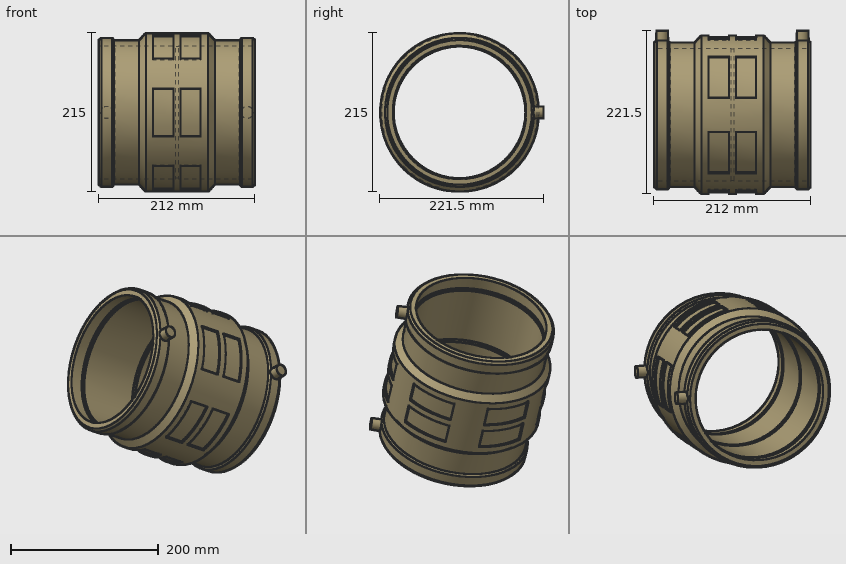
import cadquery as cq

length = 212.0
width = 221.5
barrel_diameter = 215.0
neck_diameter = 196.0
collar_diameter = 202.0
collar_length = 18.2
collar_lead_length = 3.8
collar_taper_length = 2.7
neck_end = 54.7
barrel_cone_length = 9.0

bore_diameter = 180.0
groove_start = 18.0
groove_width = 4.0
groove_depth = 0.9
stop_diameter = 178.3
stop_width = 4.5

window_count = 6
window_angle = 35.0
window_depth = 2.2
window_width = 27.2
window_gap = 9.7

stub_base_diameter = 16.8
stub_tip_diameter = 16.0
stub_inset = 10.9

half_length = length / 2
barrel_radius = barrel_diameter / 2
neck_radius = neck_diameter / 2
collar_radius = collar_diameter / 2
bore_radius = bore_diameter / 2
groove_end = groove_start + groove_width
groove_radius = bore_radius + groove_depth
stop_radius = stop_diameter / 2
stop_start = (length - stop_width) / 2
taper_end = collar_length + collar_taper_length
stub_tip = width - barrel_radius
stub_root = (neck_radius + groove_radius) / 2


def mirrored_revolve(end_profile):
    """Revolve (distance from open end, radius) points, mirrored to both ends, about X."""
    left = [(distance - half_length, radius) for distance, radius in end_profile]
    right = [(-x, radius) for x, radius in reversed(left)]
    outline = [(-half_length, 0)] + left + right + [(half_length, 0)]
    return cq.Workplane("XY").polyline(outline).close().revolve(360, (0, 0, 0), (1, 0, 0))


def window_cutter():
    """Curved block centred on -Y, with radial side walls, that cuts one window."""
    ring_section = (
        cq.Workplane("XY")
        .center(0, -barrel_radius)
        .rect(window_width, 2 * window_depth)
    )
    block = ring_section.revolve(window_angle, (0, barrel_radius, 0), (1, barrel_radius, 0))
    return block.rotate((0, 0, 0), (1, 0, 0), -window_angle / 2)


def stub(x):
    """Slightly tapered round stub pointing along +Y."""
    return (
        cq.Workplane("XZ", origin=(x, stub_root, 0))
        .circle(stub_base_diameter / 2)
        .workplane(offset=stub_root - stub_tip)
        .circle(stub_tip_diameter / 2)
        .loft()
    )


result = mirrored_revolve([
    (0, neck_radius),
    (collar_lead_length, collar_radius),
    (collar_length, collar_radius),
    (taper_end, neck_radius),
    (neck_end, neck_radius),
    (neck_end + barrel_cone_length, barrel_radius),
])

for side in (-1, 1):
    result = result.union(stub(side * (half_length - stub_inset)))

result = result.cut(mirrored_revolve([
    (0, bore_radius),
    (groove_start, bore_radius),
    (groove_start, groove_radius),
    (groove_end, groove_radius),
    (groove_end, bore_radius),
    (stop_start, bore_radius),
    (stop_start, stop_radius),
]))

window_offset = (window_gap + window_width) / 2
for index in range(window_count):
    angle = index * 360 / window_count
    for side in (-1, 1):
        cutter = window_cutter().translate((side * window_offset, 0, 0))
        result = result.cut(cutter.rotate((0, 0, 0), (1, 0, 0), angle))